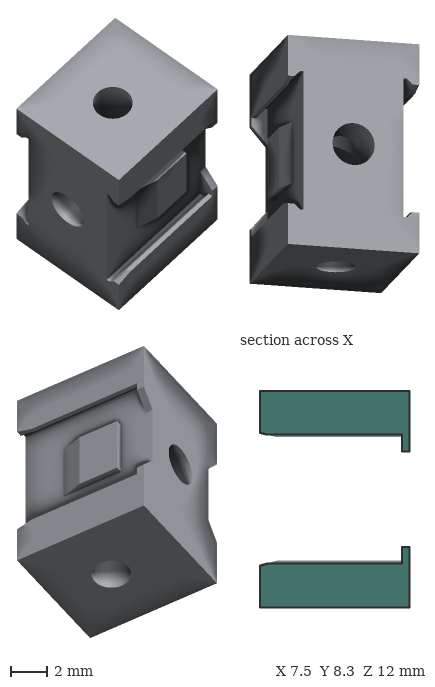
import cadquery as cq

width = 7.5
depth = 8.3
height = 12.0
half_width = width / 2
front = -depth / 2
back = depth / 2

cross_hole_diameter = 2.4
vertical_hole_diameter = 2.2
vertical_hole_y = -0.36

channel_depth = 0.89
floor_x = half_width - channel_depth
mouth_half_height = 3.41
inner_half_height = 3.97
lip_thickness = 0.26
undercut_chamfer = 0.43
lead_in_length = 0.96
lead_in_rise = 0.25

tab_thickness = 0.45
tab_tip_half_gap = 1.9
tab_outer_half_gap = 2.93

pad_height = 0.41
pad_half_height = 1.75
pad_back_y = 2.09
pad_ramp_y = -0.37
pad_front_y = -1.68


def mirrored_prism(half_section, y_start, y_end):
    """Extrude an XZ section along Y and add its copy below mid-height."""
    upper = half_section.extrude(-(y_end - y_start)).translate((0, y_start, 0))
    return upper.union(upper.mirror("XY"))


def channel():
    """Undercut channel in the +X side, open at the front and back."""
    lip_x = half_width - lip_thickness
    chamfer_end_x = lip_x - undercut_chamfer
    chamfer_start_z = inner_half_height - undercut_chamfer
    section = (
        cq.Workplane("XZ")
        .moveTo(floor_x, 0)
        .lineTo(half_width, 0)
        .lineTo(half_width, mouth_half_height)
        .lineTo(lip_x, mouth_half_height)
        .lineTo(lip_x, chamfer_start_z)
        .lineTo(chamfer_end_x, inner_half_height)
        .lineTo(floor_x, inner_half_height)
        .close()
    )
    return mirrored_prism(section, front, back)


def lead_in():
    """Tapered widening of the channel mouth at the front."""
    flare_half_height = mouth_half_height + lead_in_rise
    flare_depth = lip_thickness + undercut_chamfer / 2
    return (
        cq.Workplane("YZ", origin=(half_width - flare_depth, 0, 0))
        .polyline([
            (front, -flare_half_height),
            (front + lead_in_length, -mouth_half_height),
            (front + lead_in_length, mouth_half_height),
            (front, flare_half_height),
        ])
        .close()
        .extrude(flare_depth)
    )


def stop_tabs():
    """Pair of bevelled tabs that narrow the channel at the back."""
    section = (
        cq.Workplane("XZ")
        .polyline([
            (floor_x, tab_tip_half_gap),
            (half_width, tab_outer_half_gap),
            (half_width, inner_half_height),
            (floor_x, inner_half_height),
        ])
        .close()
    )
    return mirrored_prism(section, back - tab_thickness, back)


def pad():
    """Raised pad with a ramp running down to the channel floor."""
    pad_x = floor_x + pad_height
    return (
        cq.Workplane("XY", origin=(0, 0, -pad_half_height))
        .polyline([
            (floor_x, pad_front_y),
            (pad_x, pad_ramp_y),
            (pad_x, pad_back_y),
            (floor_x, pad_back_y),
        ])
        .close()
        .extrude(2 * pad_half_height)
    )


side_cut = channel().union(lead_in())
side_additions = stop_tabs().union(pad())

result = cq.Workplane("XY").box(width, depth, height)
result = result.cut(side_cut).cut(side_cut.mirror("YZ"))
result = result.union(side_additions).union(side_additions.mirror("YZ"))

cross_hole = cq.Workplane("XZ").circle(cross_hole_diameter / 2).extrude(depth / 2, both=True)
vertical_hole = (
    cq.Workplane("XY")
    .center(0, vertical_hole_y)
    .circle(vertical_hole_diameter / 2)
    .extrude(height / 2, both=True)
)
result = result.cut(cross_hole).cut(vertical_hole)